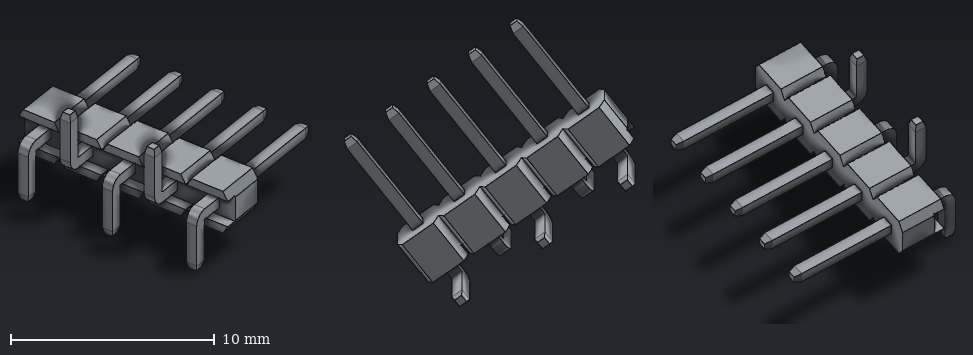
import cadquery as cq

PIN_COUNT = 5
PITCH = 2.54
HOUSING_LENGTH = PIN_COUNT * PITCH
HOUSING_DEPTH = 2.5
HOUSING_HEIGHT = 2.5
SIDE_HEIGHT = 1.41
BEVEL_WIDTH = 0.32

CHANNEL_HEIGHT = 1.51
CHANNEL_DEPTH = 0.6

PIN_SIZE = 0.64
BEND_INNER_RADIUS = 0.04
BEND_OUTER_RADIUS = BEND_INNER_RADIUS + PIN_SIZE
REAR_REACH = 5.75
PIN_DEPTH = 9.58
LEG_REACH = 3.12
TIP_LENGTH = 0.4
TIP_INSET = 0.1

REAR_Y = HOUSING_DEPTH / 2
LIP_Y = -HOUSING_DEPTH / 2
PIN_REAR_Y = REAR_Y + REAR_REACH
PIN_FRONT_Y = PIN_REAR_Y - PIN_DEPTH
LEG_Y = PIN_FRONT_Y + PIN_SIZE / 2
BEND_Y = PIN_FRONT_Y + BEND_OUTER_RADIUS
BEND_Z = PIN_SIZE / 2 - BEND_OUTER_RADIUS

PIN_POSITIONS = [(i - (PIN_COUNT - 1) / 2) * PITCH for i in range(PIN_COUNT)]


def housing_cell(x):
    """Octagonal block around one pin, bevelled along its four Y edges."""
    half_width = PITCH / 2
    half_top = half_width - BEVEL_WIDTH
    half_side = SIDE_HEIGHT / 2
    half_height = HOUSING_HEIGHT / 2
    outline = [
        (half_width, -half_side),
        (half_width, half_side),
        (half_top, half_height),
        (-half_top, half_height),
        (-half_width, half_side),
        (-half_width, -half_side),
        (-half_top, -half_height),
        (half_top, -half_height),
    ]
    cell = cq.Workplane("XZ", origin=(x, REAR_Y, 0)).polyline(outline).close()
    return cell.extrude(HOUSING_DEPTH)


def front_channel():
    """Cutter for the channel running the full length of the front face."""
    channel = cq.Workplane("XY").box(HOUSING_LENGTH, CHANNEL_DEPTH, CHANNEL_HEIGHT)
    return channel.translate((0, LIP_Y + CHANNEL_DEPTH / 2, 0))


def tapered_tip(base, direction):
    """Frustum that narrows a pin from its base point along a direction."""
    plane = cq.Plane(origin=base, xDir=(1, 0, 0), normal=direction)
    end_size = PIN_SIZE - 2 * TIP_INSET
    tip = cq.Workplane(plane).rect(PIN_SIZE, PIN_SIZE)
    tip = tip.workplane(offset=TIP_LENGTH).rect(end_size, end_size)
    return tip.loft(ruled=True)


def downward_pin():
    """Pin running along Y, then bent down at the front, with both tips tapered."""
    rear_tip_y = PIN_REAR_Y - TIP_LENGTH
    leg_tip_z = TIP_LENGTH - LEG_REACH
    half = PIN_SIZE / 2
    bar = (
        cq.Workplane("YZ", origin=(-half, 0, 0))
        .moveTo(rear_tip_y, half)
        .lineTo(BEND_Y, half)
        .radiusArc((PIN_FRONT_Y, BEND_Z), -BEND_OUTER_RADIUS)
        .lineTo(PIN_FRONT_Y, leg_tip_z)
        .lineTo(PIN_FRONT_Y + PIN_SIZE, leg_tip_z)
        .lineTo(PIN_FRONT_Y + PIN_SIZE, BEND_Z)
        .radiusArc((BEND_Y, -half), BEND_INNER_RADIUS)
        .lineTo(rear_tip_y, -half)
        .close()
        .extrude(PIN_SIZE)
    )
    bar = bar.union(tapered_tip((0, rear_tip_y, 0), (0, 1, 0)))
    return bar.union(tapered_tip((0, LEG_Y, leg_tip_z), (0, 0, -1)))


housing = housing_cell(PIN_POSITIONS[0])
for x in PIN_POSITIONS[1:]:
    housing = housing.union(housing_cell(x))
housing = housing.cut(front_channel())

pin_down = downward_pin()
pin_up = pin_down.mirror("XY")
result = housing
for i, x in enumerate(PIN_POSITIONS):
    pin = pin_down if i % 2 == 0 else pin_up
    result = result.union(pin.translate((x, 0, 0)))